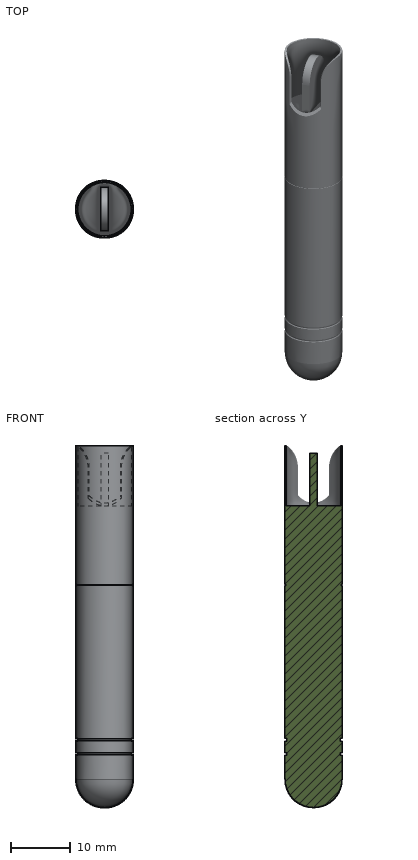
import cadquery as cq
import math

total_length = 61.1
outer_diameter = 9.7
outer_radius = outer_diameter / 2

opening_half_angle = 35.5
opening_corner_radius = 3.65
lip_low_height = 51.0
lip_slope_angle = 56.0

bore_radius = 4.5
floor_height = lip_low_height

groove_width = 0.35
groove_radius = bore_radius
groove_heights = (8.9, 11.3)

joint_height = 37.55
joint_width = 0.1
joint_depth = 0.1
joint_radius = outer_radius - joint_depth

tab_thickness = 1.35
tab_radius = 3.65
tab_top_height = 59.9

clearance = 1.2


def make_body():
    """Round bar with a hemispherical lower end."""
    profile = (
        cq.Workplane("XZ")
        .moveTo(0, 0)
        .radiusArc((outer_radius, outer_radius), -outer_radius)
        .lineTo(outer_radius, total_length)
        .lineTo(0, total_length)
        .close()
    )
    return profile.revolve(360, (0, 0, 0), (0, 1, 0))


def make_bore():
    """Round pocket running from the open top down to the floor."""
    depth = total_length - floor_height
    return cq.Workplane("XY").workplane(offset=floor_height).circle(bore_radius).extrude(depth)


def make_groove(height, width, bottom_radius):
    """Ring that cuts a groove starting at the given height."""
    return (
        cq.Workplane("XY")
        .workplane(offset=height)
        .circle(outer_radius + clearance)
        .circle(bottom_radius)
        .extrude(width)
    )


def make_opening():
    """Wedge with radial sides, standing on a lip that slopes down and outwards."""
    reach = outer_radius + clearance
    half_width = reach * math.tan(math.radians(opening_half_angle))
    wedge = (
        cq.Workplane("XY")
        .polyline([(0, 0), (half_width, reach), (-half_width, reach)])
        .close()
        .extrude(total_length + clearance)
    )
    slope = math.tan(math.radians(lip_slope_angle))
    above_lip = (
        cq.Workplane("YZ")
        .polyline([
            (0, lip_low_height + slope * outer_radius),
            (reach, lip_low_height - slope * clearance),
            (reach, total_length + clearance),
            (0, total_length + clearance),
        ])
        .close()
        .extrude(half_width, both=True)
    )
    return wedge.intersect(above_lip)


def make_corner_rounding(side):
    """Cutter that rounds one upper corner of the opening; side is -1 for -X or 1 for +X."""
    corner = (
        cq.Workplane("XZ")
        .moveTo(0, total_length - opening_corner_radius)
        .radiusArc((side * opening_corner_radius, total_length), side * opening_corner_radius)
        .lineTo(side * opening_corner_radius, total_length + clearance)
        .lineTo(-side * clearance, total_length + clearance)
        .lineTo(-side * clearance, total_length - opening_corner_radius)
        .close()
        .extrude(-(outer_radius + clearance))
    )
    return corner.rotate((0, 0, 0), (0, 0, 1), -side * opening_half_angle)


def make_tab():
    """Flat upright tab with a half-round top, centred across the bore."""
    round_centre_height = tab_top_height - tab_radius
    return (
        cq.Workplane("YZ")
        .moveTo(-tab_radius, floor_height)
        .lineTo(-tab_radius, round_centre_height)
        .threePointArc((0, tab_top_height), (tab_radius, round_centre_height))
        .lineTo(tab_radius, floor_height)
        .close()
        .extrude(tab_thickness / 2, both=True)
    )


body = make_body().cut(make_bore()).cut(make_opening())
for side in (-1, 1):
    body = body.cut(make_corner_rounding(side))

for groove_height in groove_heights:
    body = body.cut(make_groove(groove_height, groove_width, groove_radius))
body = body.cut(make_groove(joint_height, joint_width, joint_radius))

result = body.union(make_tab())